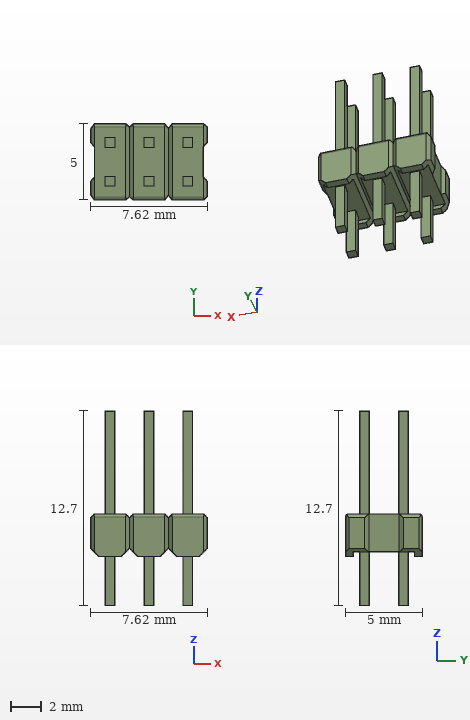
import cadquery as cq

pitch = 2.54
columns = 3
rows = 2

pin_width = 0.64
pin_length = 12.7

body_length = columns * pitch
body_width = 5.0
body_bottom = 3.2
body_height = 2.8
body_top = body_bottom + body_height

bevel_width = 0.25
top_bevel_height = 0.25
bottom_bevel = 0.55

relief_height = 0.3
foot_width = 0.51
top_edge_radius = 0.22

corner_bevel_depths = [0.35, 0.23, 0.32, 0.23]

recess_half_width = 0.99
recess_bevel = 0.28

half_length = body_length / 2
half_width = body_width / 2


def centered_places(count):
    """Evenly pitched positions centered on zero."""
    return [(i - (count - 1) / 2) * pitch for i in range(count)]


def block_row():
    """Blocks with bevelled top and bottom edges, each a prism along Y."""
    half_pitch = pitch / 2
    outline = [
        (-half_pitch + bottom_bevel, body_bottom),
        (half_pitch - bottom_bevel, body_bottom),
        (half_pitch, body_bottom + bottom_bevel),
        (half_pitch, body_top - top_bevel_height),
        (half_pitch - bevel_width, body_top),
        (-half_pitch + bevel_width, body_top),
        (-half_pitch, body_top - top_bevel_height),
        (-half_pitch, body_bottom + bottom_bevel),
    ]
    block = cq.Workplane("XZ").polyline(outline).close().extrude(half_width, both=True)
    row = cq.Workplane("XY")
    for x in centered_places(columns):
        row = row.union(block.translate((x, 0, 0)))
    return row


def end_profile():
    """Cross section along X: rounded upper edges and a foot under each long side."""
    section = (
        cq.Workplane("XY")
        .box(body_length, body_width, body_height, centered=(True, True, False))
        .translate((0, 0, body_bottom))
        .edges("|X and >Z")
        .fillet(top_edge_radius)
    )
    relief = (
        cq.Workplane("XY")
        .box(body_length, body_width - 2 * foot_width, relief_height, centered=(True, True, False))
        .translate((0, 0, body_bottom))
    )
    return section.cut(relief)


def corner_notches():
    """Vertical V-shaped notches in both long sides, one at each block boundary."""
    notches = cq.Workplane("XY")
    for i, depth in enumerate(corner_bevel_depths):
        x = -half_length + i * pitch
        for side in (-1, 1):
            outline = [
                (x - bevel_width, side * half_width),
                (x, side * (half_width - depth)),
                (x + bevel_width, side * half_width),
            ]
            notches = notches.union(
                cq.Workplane("XY").polyline(outline).close().extrude(pin_length)
            )
    return notches


def end_recesses():
    """Recesses with sloping sides, as deep as the bevels, in both end faces."""
    recesses = cq.Workplane("XY")
    for side in (-1, 1):
        outer_x = side * half_length
        inner_x = side * (half_length - bevel_width)
        outer_y = recess_half_width + recess_bevel
        outline = [
            (outer_x, -outer_y),
            (inner_x, -recess_half_width),
            (inner_x, recess_half_width),
            (outer_x, outer_y),
        ]
        recesses = recesses.union(
            cq.Workplane("XY").polyline(outline).close().extrude(pin_length)
        )
    return recesses


def pins():
    """Square pins on the column and row grid."""
    places = [(x, y) for x in centered_places(columns) for y in centered_places(rows)]
    return cq.Workplane("XY").pushPoints(places).rect(pin_width, pin_width).extrude(pin_length)


body = block_row().intersect(end_profile()).cut(corner_notches()).cut(end_recesses())
result = body.union(pins())